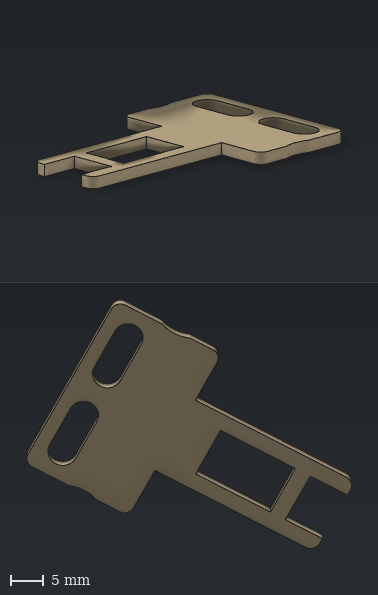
import cadquery as cq

total_length = 46.3
thickness = 2.0
corner_radius = 1.57

head_width = 30.0
head_length = 18.45
stem_width = 13.05
head_bottom = total_length - head_length

opening_width = 8.0
fork_depth = 6.5
bar_width = 2.65
window_length = 13.0
window_bottom = fork_depth + bar_width

slot_length = 11.2
slot_width = 4.55
slot_spacing = 14.35
slot_from_top = 4.5

recess_length = 4.9
recess_depth = 0.45
recess_from_top = 10.35


def plate(width, length, bottom):
    """Flat rectangular plate centred on X, starting at Y = bottom and Z = 0."""
    return (
        cq.Workplane("XY")
        .center(0, bottom + length / 2)
        .rect(width, length)
        .extrude(thickness)
    )


def side_recess(side):
    """Cutter for the arc recess; side is -1 for left, 1 for right."""
    edge = side * head_width / 2
    deepest = edge - side * recess_depth
    middle = total_length - recess_from_top
    return (
        cq.Workplane("XY")
        .moveTo(edge, middle - recess_length / 2)
        .threePointArc((deepest, middle), (edge, middle + recess_length / 2))
        .close()
        .extrude(thickness)
    )


head = plate(head_width, head_length, head_bottom).edges("|Z").fillet(corner_radius)
stem = plate(stem_width, head_bottom, 0).edges("|Z and <Y").fillet(corner_radius)
body = head.union(stem)

body = body.cut(plate(opening_width, window_length, window_bottom))
body = body.cut(plate(opening_width, fork_depth, 0))

slots = (
    cq.Workplane("XY")
    .pushPoints([(side * slot_spacing / 2, total_length - slot_from_top) for side in (-1, 1)])
    .slot2D(slot_length, slot_width)
    .extrude(thickness)
)
body = body.cut(slots)

for side in (-1, 1):
    body = body.cut(side_recess(side))

result = body